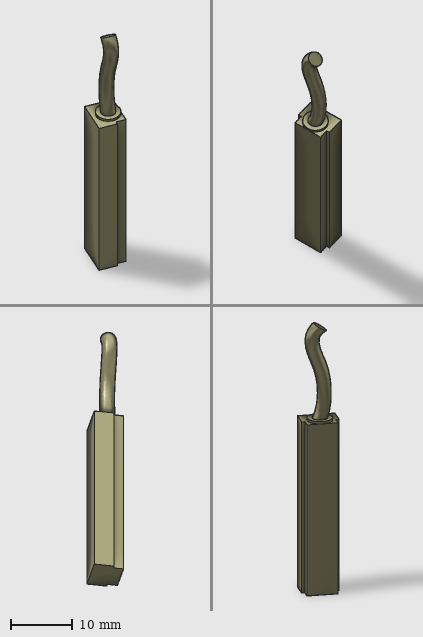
import cadquery as cq
import math

body_width = 6.3
body_depth = 5.0
body_height = 29.6
rail_width = 5.2
rail_depth = 1.7

collar_diameter = 4.2
collar_height = 0.4
collar_y = body_depth - collar_diameter / 2
collar_top = body_height + collar_height

cable_diameter = 2.5
overall_height = 46.41
start_lean = 22.0
end_face_lean = 32.0
end_lean = start_lean + end_face_lean
end_drop = cable_diameter / 2 * math.sin(math.radians(end_face_lean))
lower_bend = (-0.73, 4.7)
crossing = (0, 8.9)
upper_bend = (1.29, 13.4)


def make_body():
    """Wide bar with a narrower rail along its +Y side."""
    bar_depth = body_depth - rail_depth
    bar = cq.Workplane("XY").box(body_width, bar_depth, body_height, centered=(True, False, False))
    rail = cq.Workplane("XY").box(rail_width, body_depth, body_height, centered=(True, False, False))
    return bar.union(rail)


def make_collar():
    """Disc under the root of the cable."""
    base = cq.Workplane("XY", origin=(0, collar_y, body_height))
    return base.circle(collar_diameter / 2).extrude(collar_height)


def lean_direction(angle):
    """Direction in the XZ plane, leaning from +Z towards -X."""
    return cq.Vector(-math.sin(math.radians(angle)), 0, math.cos(math.radians(angle)))


def make_cable():
    """Horizontal circle swept along an S-shaped spline."""
    end_rise = overall_height - end_drop - collar_top
    stations = [(0, 0), lower_bend, crossing, upper_bend, (0, end_rise)]
    points = [cq.Vector(x, collar_y, collar_top + rise) for x, rise in stations]
    tangents = [lean_direction(start_lean), lean_direction(end_lean)]
    path = cq.Workplane("XY").add(cq.Edge.makeSpline(points, tangents=tangents))
    root = cq.Workplane("XY", origin=(0, collar_y, collar_top))
    return root.circle(cable_diameter / 2).sweep(path)


result = make_body().union(make_collar()).union(make_cable())